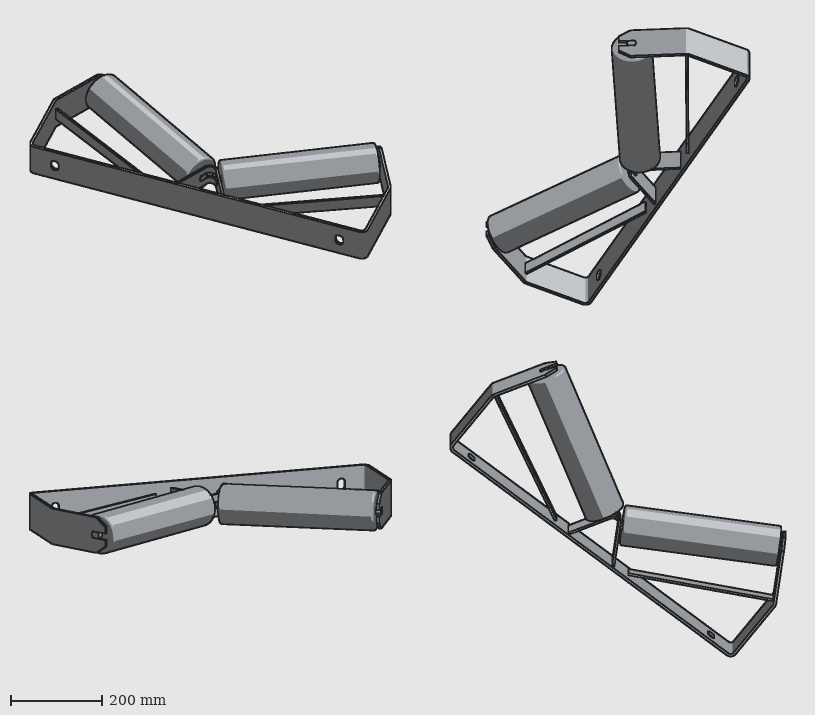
import cadquery as cq
import math

overall_width = 790.0
frame_height = 80.0
plate_thickness = 6.0

outer_bend_radius = 14.0
wall_height = 157.5
wing_length = 151.5
tip_cut_along = 26.0
tip_cut_height = 18.0

mount_slot_spacing = 666.0
mount_slot_length = 27.0
mount_slot_width = 18.0

bracket_height = 50.0
bracket_foot_half_width = 64.0
bracket_thickness = 5.0
bracket_bend_radius = 18.0

roller_tilt = 30.0
roller_diameter = 89.0
roller_length = 346.0
roller_edge_radius = 5.0
axis_offset = 62.3
spindle_diameter = 20.0
spindle_flat_width = 14.0
spindle_slot_width = 15.0

brace_thickness = 5.0
brace_height = 30.0
brace_foot_x = 102.0
brace_wall_y = 154.0

pick_margin = 0.01

tilt = math.radians(roller_tilt)
half_width = overall_width / 2
inner_bend_radius = outer_bend_radius - plate_thickness

bracket_face = (bracket_foot_half_width * math.cos(tilt)
                + plate_thickness * math.sin(tilt))
bracket_back = bracket_face - bracket_thickness
wing_outer = half_width * math.cos(tilt) + wall_height * math.sin(tilt)
wing_inner = wing_outer - plate_thickness
roller_middle = (bracket_face + wing_inner) / 2


def axis_point(along, across):
    """XY point at a distance along and across the left roller direction."""
    return (
        -along * math.cos(tilt) + across * math.sin(tilt),
        along * math.sin(tilt) + across * math.cos(tilt),
    )


def axis_plane(along):
    """Plane square to the left roller axis; local X runs across it, local Y is Z."""
    x, y = axis_point(along, axis_offset)
    return cq.Plane(
        origin=(x, y, 0),
        xDir=(math.sin(tilt), math.cos(tilt), 0),
        normal=(math.cos(tilt), -math.sin(tilt), 0),
    )


def mirrored(body):
    """The matching body on the other side of the X = 0 plane."""
    return body.mirror("YZ")


def plate(points, height):
    """Upright plate on an XY outline, centred on Z = 0."""
    return cq.Workplane("XY").polyline(points).close().extrude(height / 2, both=True)


def bend_edges(body, x, y):
    """The upright edge that passes through the given XY point."""
    box = cq.selectors.BoxSelector(
        (x - pick_margin, y - pick_margin, -pick_margin),
        (x + pick_margin, y + pick_margin, pick_margin),
    )
    return body.edges(box)


wing_base = wall_height * math.cos(tilt) - half_width * math.sin(tilt)
wing_tip = wing_base + wing_length
inner_wall_x = half_width - plate_thickness
inner_bend_y = wall_height - plate_thickness * math.tan(tilt / 2)


def spindle_slot(along_from, along_to, open_length):
    """Cutter for a spindle slot, seated on the spindle and open towards the free end."""
    length = along_to - along_from
    plane = axis_plane(along_to)
    seat = cq.Workplane(plane).circle(spindle_diameter / 2).extrude(length)
    sides = cq.Workplane(plane).rect(spindle_diameter, spindle_slot_width).extrude(length)
    mouth = (
        cq.Workplane(plane)
        .center(open_length / 2, 0)
        .rect(open_length, spindle_slot_width)
        .extrude(length)
    )
    return seat.intersect(sides).union(mouth)


def tip_corner_cutter(side):
    """Wedge that trims one corner of the left wing tip; side is +1 or -1 along Z."""
    tip = wing_tip - axis_offset
    edge = side * frame_height / 2
    return (
        cq.Workplane(axis_plane(wing_outer))
        .polyline([
            (tip, edge),
            (tip - tip_cut_along, edge),
            (tip, edge - side * tip_cut_height),
        ])
        .close()
        .extrude(plate_thickness)
    )


def make_frame():
    left_outer = [(-half_width, 0), (-half_width, wall_height), axis_point(wing_outer, wing_tip)]
    left_inner = [
        axis_point(wing_inner, wing_tip),
        (-inner_wall_x, inner_bend_y),
        (-inner_wall_x, plate_thickness),
    ]
    left = left_outer + left_inner
    right = [(-x, y) for x, y in reversed(left)]
    frame = plate(left + right, frame_height)

    for side in (-1, 1):
        for y in (0, wall_height):
            frame = bend_edges(frame, side * half_width, y).fillet(outer_bend_radius)
        for y in (plate_thickness, inner_bend_y):
            frame = bend_edges(frame, side * inner_wall_x, y).fillet(inner_bend_radius)

    wing_cutters = [
        spindle_slot(wing_inner, wing_outer, wing_tip - axis_offset),
        tip_corner_cutter(1),
        tip_corner_cutter(-1),
    ]
    for cutter in wing_cutters:
        frame = frame.cut(cutter).cut(mirrored(cutter))

    mount_slots = (
        cq.Workplane("XZ")
        .pushPoints([(-mount_slot_spacing / 2, 0), (mount_slot_spacing / 2, 0)])
        .slot2D(mount_slot_length, mount_slot_width, 90)
        .extrude(-plate_thickness)
    )
    return frame.cut(mount_slots)


def make_bracket():
    foot_y = plate_thickness
    inner_radius = bracket_bend_radius - bracket_thickness
    outer_apex = bracket_face / math.sin(tilt)
    inner_apex = bracket_back / math.sin(tilt)
    inner_foot = bracket_foot_half_width - bracket_thickness / math.cos(tilt)
    bracket = plate(
        [
            (-bracket_foot_half_width, foot_y),
            (0, outer_apex),
            (bracket_foot_half_width, foot_y),
            (inner_foot, foot_y),
            (0, inner_apex),
            (-inner_foot, foot_y),
        ],
        bracket_height,
    )
    bracket = bend_edges(bracket, 0, outer_apex).fillet(bracket_bend_radius)
    bracket = bend_edges(bracket, 0, inner_apex).fillet(inner_radius)

    bend_centre_y = outer_apex - bracket_bend_radius / math.sin(tilt)
    bend_start_y = bend_centre_y + inner_radius * math.sin(tilt)
    bend_opening = cq.Workplane("XY").box(
        2 * bracket_bend_radius * math.cos(tilt),
        2 * (outer_apex - bend_start_y),
        spindle_slot_width,
    ).translate((0, outer_apex, 0))
    slot = spindle_slot(bracket_back, bracket_face, roller_diameter)
    return bracket.cut(slot).cut(mirrored(slot)).cut(bend_opening)


def make_brace():
    """Left brace: a square-ended bar whose lower corners meet the wall and the base."""
    wall_corner = (-inner_wall_x, brace_wall_y)
    base_corner = (-brace_foot_x, plate_thickness)
    run = base_corner[0] - wall_corner[0]
    drop = wall_corner[1] - base_corner[1]
    length = math.hypot(run, drop)
    step_x = brace_thickness * drop / length
    step_y = brace_thickness * run / length
    return plate(
        [
            wall_corner,
            base_corner,
            (base_corner[0] + step_x, base_corner[1] + step_y),
            (wall_corner[0] + step_x, wall_corner[1] + step_y),
        ],
        brace_height,
    )


def make_roller():
    """Left roller: solid drum with rounded rims and a flat-sided spindle through both plates."""
    start = roller_middle + roller_length / 2
    shell = (
        cq.Workplane(axis_plane(start))
        .circle(roller_diameter / 2)
        .extrude(roller_length)
        .edges()
        .fillet(roller_edge_radius)
    )
    spindle_length = wing_outer - bracket_back
    spindle = (
        cq.Workplane(axis_plane(wing_outer))
        .circle(spindle_diameter / 2)
        .extrude(spindle_length)
    )
    flats = (
        cq.Workplane(axis_plane(wing_outer))
        .rect(spindle_diameter, spindle_flat_width)
        .extrude(spindle_length)
    )
    return shell.union(spindle.intersect(flats))


frame = make_frame()
bracket = make_bracket()
left_brace = make_brace()
left_roller = make_roller()
braces = [left_brace, mirrored(left_brace)]
rollers = [left_roller, mirrored(left_roller)]

bodies = [frame, bracket, *braces, *rollers]
result = cq.Compound.makeCompound([body.val() for body in bodies])